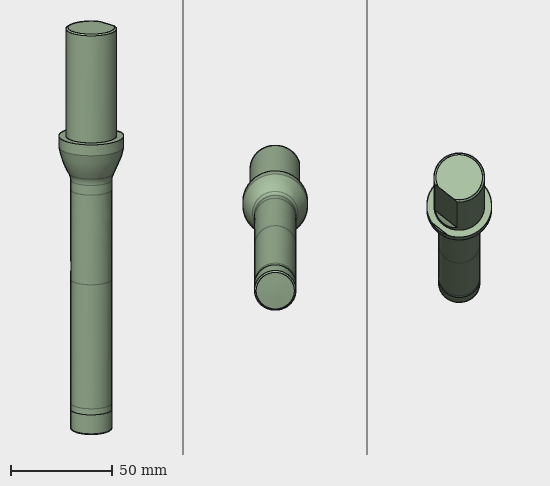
import cadquery as cq

total_length = 207.0
shoulder_z = 151.3
collar_bottom_z = 145.7
flare_mid_z = 132.3
neck_top_z = 128.8
neck_bottom_z = 123.8
shaft_top_z = 77.6
shaft_bottom_z = 13.9
head_top_z = 10.8

shank_radius = 25.0 / 2
collar_radius = 32.0 / 2
flare_mid_radius = 11.2
neck_radius = 20.5 / 2
shaft_radius = 20.3 / 2
head_radius = neck_radius

top_chamfer_height = 0.6
top_chamfer_width = 1.0
flat_distance = 10.4
flat_runout_height = 2.7
flat_runout_z = shoulder_z + flat_runout_height

tip_cone_height = 0.5
tip_chamfer_height = 0.6
tip_chamfer_width = 0.8


def revolve_about_z(profile):
    """Revolve a closed (radius, height) outline about the Z axis."""
    return profile.close().revolve(360, (0, 0, 0), (0, 1, 0))


def make_flat_cutter():
    """Block that leaves a flat on the +Y side, ending in a 45 degree run-out."""
    reach = collar_radius
    outline = [
        (flat_distance, total_length),
        (flat_distance, flat_runout_z + shank_radius - flat_distance),
        (reach, flat_runout_z + shank_radius - reach),
        (reach, total_length),
    ]
    return cq.Workplane("YZ").polyline(outline).close().extrude(collar_radius, both=True)


def make_holder():
    """Shank, collar, flare and slim shaft as one turned body with a clamping flat."""
    profile = (
        cq.Workplane("XZ")
        .moveTo(0, head_top_z)
        .lineTo(head_radius, head_top_z)
        .lineTo(shaft_radius, shaft_bottom_z)
        .lineTo(shaft_radius, shaft_top_z)
        .lineTo(neck_radius, neck_bottom_z)
        .lineTo(neck_radius, neck_top_z)
        .tangentArcPoint((flare_mid_radius, flare_mid_z), relative=False)
        .tangentArcPoint((collar_radius, collar_bottom_z), relative=False)
        .lineTo(collar_radius, shoulder_z)
        .lineTo(shank_radius, shoulder_z)
        .lineTo(shank_radius, total_length - top_chamfer_height)
        .lineTo(shank_radius - top_chamfer_width, total_length)
        .lineTo(0, total_length)
    )
    return revolve_about_z(profile).cut(make_flat_cutter())


def make_cutting_head():
    """Short cylinder with a chamfered rim and a very shallow conical end."""
    rim_z = tip_cone_height + tip_chamfer_height
    profile = (
        cq.Workplane("XZ")
        .moveTo(0, 0)
        .lineTo(head_radius - tip_chamfer_width, tip_cone_height)
        .lineTo(head_radius, rim_z)
        .lineTo(head_radius, head_top_z)
        .lineTo(0, head_top_z)
    )
    return revolve_about_z(profile)


holder = make_holder()
cutting_head = make_cutting_head()

result = cq.Compound.makeCompound([holder.val(), cutting_head.val()])